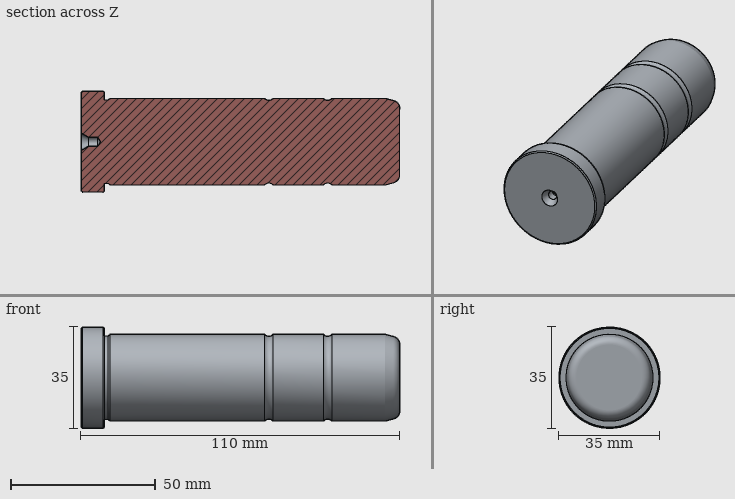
import cadquery as cq
import math

total_length = 110.0
head_radius = 35.0 / 2
head_length = 8.0
head_chamfer = 0.4
shaft_radius = 30.0 / 2

relief_depth = 0.5
relief_floor_end = 9.4
relief_end = 10.0

groove_centers = (64.8, 85.0)
groove_width = 3.0
groove_depth = 0.7

nose_taper_start = 104.9
nose_angle = math.radians(15)
nose_radius = 3.0

center_mouth_radius = 3.0
center_hole_radius = 1.5
countersink_half_angle = math.radians(30)
center_hole_depth = 5.7
drill_tip_half_angle = math.radians(59)


def revolve_about_x(profile):
    """Turn a closed profile, drawn as (axial, radial), about the X axis."""
    return profile.close().revolve(360, (0, 0, 0), (1, 0, 0))


def make_body():
    taper_end = total_length - nose_radius * (1 - math.sin(nose_angle))
    taper_end_radius = shaft_radius - (taper_end - nose_taper_start) * math.tan(nose_angle)
    arc_center_x = total_length - nose_radius
    arc_center_r = taper_end_radius - nose_radius * math.cos(nose_angle)
    arc_middle_angle = (math.pi / 2 - nose_angle) / 2
    arc_middle = (
        arc_center_x + nose_radius * math.cos(arc_middle_angle),
        arc_center_r + nose_radius * math.sin(arc_middle_angle),
    )
    profile = (
        cq.Workplane("XY")
        .moveTo(0, 0)
        .lineTo(0, head_radius - head_chamfer)
        .lineTo(head_chamfer, head_radius)
        .lineTo(head_length - head_chamfer, head_radius)
        .lineTo(head_length, head_radius - head_chamfer)
        .lineTo(head_length, shaft_radius - relief_depth)
        .lineTo(relief_floor_end, shaft_radius - relief_depth)
        .lineTo(relief_end, shaft_radius)
        .lineTo(nose_taper_start, shaft_radius)
        .lineTo(taper_end, taper_end_radius)
        .threePointArc(arc_middle, (total_length, arc_center_r))
        .lineTo(total_length, 0)
    )
    return revolve_about_x(profile)


def make_groove(center):
    half_width = groove_width / 2
    outside_radius = shaft_radius + groove_depth
    profile = (
        cq.Workplane("XY")
        .moveTo(center - half_width, outside_radius)
        .lineTo(center - half_width, shaft_radius)
        .threePointArc((center, shaft_radius - groove_depth), (center + half_width, shaft_radius))
        .lineTo(center + half_width, outside_radius)
    )
    return revolve_about_x(profile)


def make_center_hole():
    countersink_depth = (center_mouth_radius - center_hole_radius) / math.tan(countersink_half_angle)
    tip_length = center_hole_radius / math.tan(drill_tip_half_angle)
    profile = (
        cq.Workplane("XY")
        .moveTo(0, 0)
        .lineTo(0, center_mouth_radius)
        .lineTo(countersink_depth, center_hole_radius)
        .lineTo(center_hole_depth, center_hole_radius)
        .lineTo(center_hole_depth + tip_length, 0)
    )
    return revolve_about_x(profile)


result = make_body().cut(make_center_hole())
for groove_center in groove_centers:
    result = result.cut(make_groove(groove_center))